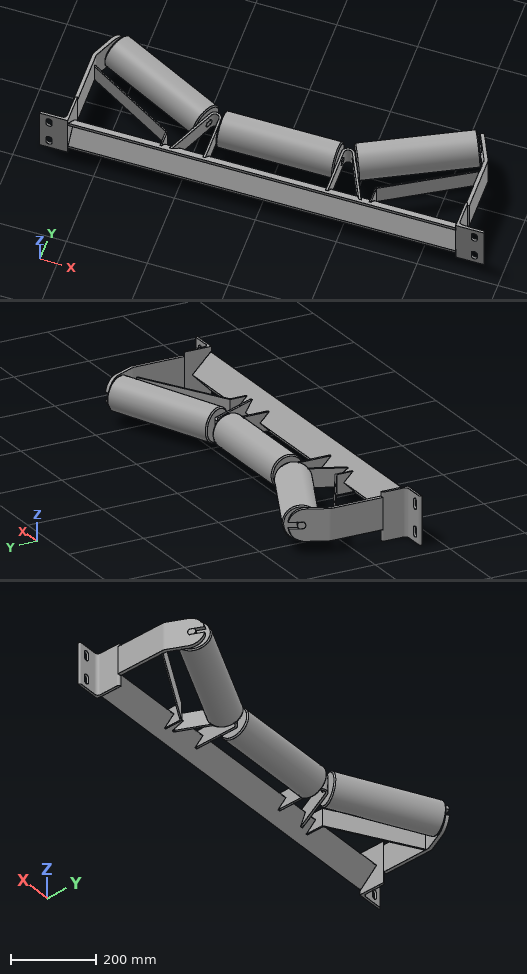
import cadquery as cq
import math


SPAN = 1100.0
MOUNT_LENGTH = 70.0
LEG_INNER_X = SPAN / 2 - MOUNT_LENGTH
TROUGH_ANGLE = 25.0
TILT_ANGLE = 1.9
TROUGH_SIN = math.sin(math.radians(TROUGH_ANGLE))
TROUGH_COS = math.cos(math.radians(TROUGH_ANGLE))
TILT_SIN = math.sin(math.radians(TILT_ANGLE))
TILT_COS = math.cos(math.radians(TILT_ANGLE))
REACH = 660.0

BEAM_SETBACK = 2.0
BEAM_DEPTH = 50.0
BEAM_RIDGE_Y = BEAM_SETBACK + BEAM_DEPTH
BEAM_THICK = 6.0
BEAM_ROOT_RADIUS = 8.0

FOOT_HEIGHT = 125.0
FOOT_DEPTH = 73.0
FOOT_THICK = 7.0
FOOT_ROOT_RADIUS = 9.0
FOOT_TOE_RADIUS = 5.0
SLOT_LENGTH = 28.0
SLOT_WIDTH = 14.0
SLOT_INSET = 24.0
SLOT_SPACING = 70.0

ROLLER_DIAMETER = 89.0
ROLLER_LENGTH = 290.0
ROLLER_CHAMFER = 3.0
SHAFT_DIAMETER = 20.0
SHAFT_FLATS = 16.0
MIDDLE_ROLLER_Y = 136.0
SIDE_ROLLER_X = 185.0
SIDE_ROLLER_Y = 145.0

SUPPORT_THICK = 6.0
SUPPORT_INNER_X = 148.0
SUPPORT_TOP_Y = 162.0
SUPPORT_FOLD_RADIUS = 13.0
SUPPORT_HEIGHT = 48.0

ARM_THICK = 10.0
ARM_WIDTH = 82.0
ARM_BEND_Y = 212.0
ARM_BEND_RADIUS = 5.0
ARM_TIP_LENGTH = 100.0

BRACE_THICK = 3.8
BRACE_HEIGHT = 53.0
BRACE_BOTTOM_Z = -29.0
BRACE_ANGLE = 30.0
BRACE_FOOT_X = 261.0
BRACE_KNEE_Y = 70.0


def both_sides(body):
    """The body on the +X side and its mirror image on the -X side."""
    return [body, body.mirror("YZ")]


ALONG = cq.Vector(TROUGH_COS, TROUGH_SIN, 0)
ACROSS = cq.Vector(-TROUGH_SIN, TROUGH_COS, 0)

MIDDLE_AXIS = cq.Plane((-ROLLER_LENGTH / 2, MIDDLE_ROLLER_Y, 0), xDir=(0, 1, 0), normal=(1, 0, 0))
SIDE_AXIS = cq.Plane(
    (SIDE_ROLLER_X, SIDE_ROLLER_Y, 0),
    xDir=ACROSS.toTuple(),
    normal=(TROUGH_COS * TILT_COS, TROUGH_SIN * TILT_COS, TILT_SIN),
)

ARM_OUTER_X = LEG_INNER_X + ARM_THICK
ARM_BEND = cq.Vector(ARM_OUTER_X, ARM_BEND_Y, 0)
SIDE_START = cq.Vector(SIDE_ROLLER_X, SIDE_ROLLER_Y, 0)
ARM_FACE_DISTANCE = (ARM_BEND - SIDE_START).dot(ALONG) / TILT_COS
ARM_MID_Z = ARM_FACE_DISTANCE * TILT_SIN
ARM_BOTTOM_Z = ARM_MID_Z - ARM_WIDTH / 2

STRAIGHT_LEG_X = SUPPORT_INNER_X + SUPPORT_THICK / 2
FOLD_X = STRAIGHT_LEG_X + SUPPORT_FOLD_RADIUS
FOLD_Y = SUPPORT_TOP_Y - SUPPORT_THICK / 2 - SUPPORT_FOLD_RADIUS

MIDDLE_SHAFT_REACH = SUPPORT_INNER_X + SUPPORT_THICK - ROLLER_LENGTH / 2
FOLD_TO_ROLLER = (SIDE_START - cq.Vector(FOLD_X, FOLD_Y, 0)).dot(ALONG)
SIDE_SHAFT_REACH = FOLD_TO_ROLLER - SUPPORT_FOLD_RADIUS + SUPPORT_THICK / 2


def shaft_bar(axis, start, length):
    """A round bar with two flats, from `start` along the axis of a roller."""
    bar = cq.Workplane(axis).workplane(offset=start).circle(SHAFT_DIAMETER / 2).extrude(length)
    flats = cq.Workplane(axis).workplane(offset=start).rect(SHAFT_DIAMETER, SHAFT_FLATS).extrude(length)
    return bar.intersect(flats)


def make_shaft(axis, inner_reach, length):
    return shaft_bar(axis, -inner_reach, length)


def make_roller(axis):
    roller = cq.Workplane(axis).circle(ROLLER_DIAMETER / 2).extrude(ROLLER_LENGTH)
    roller = roller.edges().chamfer(ROLLER_CHAMFER)
    return roller.cut(shaft_bar(axis, 0, ROLLER_LENGTH))


def make_beam():
    """V-shaped section with its ridge toward +Y and its toes cut parallel to the mounting surface."""
    inner_depth = BEAM_DEPTH - BEAM_THICK * math.sqrt(2)
    beam = (
        cq.Workplane("YZ")
        .polyline(
            [
                (BEAM_RIDGE_Y, 0),
                (BEAM_SETBACK, BEAM_DEPTH),
                (BEAM_SETBACK, inner_depth),
                (BEAM_SETBACK + inner_depth, 0),
                (BEAM_SETBACK, -inner_depth),
                (BEAM_SETBACK, -BEAM_DEPTH),
            ]
        )
        .close()
        .extrude(LEG_INNER_X, both=True)
    )
    root = cq.NearestToPointSelector((0, BEAM_SETBACK + inner_depth, 0))
    return beam.edges(root).fillet(BEAM_ROOT_RADIUS)


def make_foot():
    outer_x = SPAN / 2
    leg_outer_x = LEG_INNER_X + FOOT_THICK
    foot = (
        cq.Workplane("XY")
        .polyline(
            [
                (LEG_INNER_X, 0),
                (outer_x, 0),
                (outer_x, FOOT_THICK),
                (leg_outer_x, FOOT_THICK),
                (leg_outer_x, FOOT_DEPTH),
                (LEG_INNER_X, FOOT_DEPTH),
            ]
        )
        .close()
        .extrude(FOOT_HEIGHT / 2, both=True)
    )
    foot = foot.edges(cq.NearestToPointSelector((leg_outer_x, FOOT_THICK, 0))).fillet(FOOT_ROOT_RADIUS)
    for toe in [(outer_x, FOOT_THICK, 0), (leg_outer_x, FOOT_DEPTH, 0)]:
        foot = foot.edges(cq.NearestToPointSelector(toe)).fillet(FOOT_TOE_RADIUS)
    slots = (
        cq.Workplane("XZ")
        .center(outer_x - SLOT_INSET, 0)
        .pushPoints([(0, -SLOT_SPACING / 2), (0, SLOT_SPACING / 2)])
        .slot2D(SLOT_LENGTH, SLOT_WIDTH, 90)
        .extrude(FOOT_THICK, both=True)
    )
    return foot.cut(slots)


def trim_to_beam(strip):
    """Notch a strip so that it straddles the ridge and sits on the beam's two outer faces."""
    wedge = (
        cq.Workplane("YZ")
        .polyline([(BEAM_RIDGE_Y, 0), (BEAM_SETBACK, BEAM_DEPTH), (BEAM_SETBACK, -BEAM_DEPTH)])
        .close()
        .extrude(REACH, both=True)
    )
    return strip.cut(wedge)


def make_support():
    """Folded strip carrying the inner ends of the middle roller and one side roller."""
    fold_end = cq.Vector(FOLD_X, FOLD_Y, 0) + ALONG * SUPPORT_FOLD_RADIUS
    half_turn = math.radians((180 + TROUGH_ANGLE) / 2)
    fold_middle = (
        FOLD_X + SUPPORT_FOLD_RADIUS * math.cos(half_turn),
        FOLD_Y + SUPPORT_FOLD_RADIUS * math.sin(half_turn),
    )
    end_y = BEAM_RIDGE_Y - SUPPORT_HEIGHT / 2 - SUPPORT_THICK
    sloped_end = fold_end - ACROSS * ((fold_end.y - end_y) / TROUGH_COS)
    path = (
        cq.Workplane("XY")
        .moveTo(STRAIGHT_LEG_X, end_y)
        .lineTo(STRAIGHT_LEG_X, FOLD_Y)
        .threePointArc(fold_middle, (fold_end.x, fold_end.y))
        .lineTo(sloped_end.x, sloped_end.y)
    )
    section = cq.Workplane("XZ", origin=(STRAIGHT_LEG_X, end_y, 0)).rect(SUPPORT_THICK, SUPPORT_HEIGHT)
    strip = trim_to_beam(section.sweep(path))
    strip = strip.cut(shaft_bar(MIDDLE_AXIS, 0, SUPPORT_INNER_X * 2 + SUPPORT_THICK))
    return strip.cut(shaft_bar(SIDE_AXIS, -SIDE_SHAFT_REACH - SUPPORT_THICK, ROLLER_LENGTH))


def make_brace():
    """Strip standing on the beam and bent at a knee to run out to the end arm."""
    rise = (LEG_INNER_X - BRACE_FOOT_X) * math.tan(math.radians(BRACE_ANGLE))
    slanted_thick = BRACE_THICK / math.cos(math.radians(BRACE_ANGLE))
    inner_x = BRACE_FOOT_X - BRACE_THICK
    inner_knee_y = BRACE_KNEE_Y + slanted_thick - BRACE_THICK * math.tan(math.radians(BRACE_ANGLE))
    strip = (
        cq.Workplane("XY", origin=(0, 0, BRACE_BOTTOM_Z))
        .polyline(
            [
                (BRACE_FOOT_X, BEAM_SETBACK),
                (BRACE_FOOT_X, BRACE_KNEE_Y),
                (LEG_INNER_X, BRACE_KNEE_Y + rise),
                (LEG_INNER_X, BRACE_KNEE_Y + rise + slanted_thick),
                (inner_x, inner_knee_y),
                (inner_x, BEAM_SETBACK),
            ]
        )
        .close()
        .extrude(BRACE_HEIGHT)
    )
    return trim_to_beam(strip)


def make_frame():
    frame = make_beam()
    for part in [make_foot(), make_support(), make_brace()]:
        for welded in both_sides(part):
            frame = frame.union(welded)
    return frame


def make_arm():
    """Plate rising from the foot, bent parallel to the roller end, with a rounded, slotted tip."""
    round_centre = ARM_BEND + ACROSS * (ARM_TIP_LENGTH - ARM_WIDTH / 2)
    inner_end = round_centre - ALONG * ARM_THICK
    inner_bend_y = ARM_BEND_Y - ARM_THICK * math.tan(math.radians(TROUGH_ANGLE / 2))
    arm = (
        cq.Workplane("XY", origin=(0, 0, ARM_BOTTOM_Z))
        .polyline(
            [
                (LEG_INNER_X, FOOT_DEPTH),
                (ARM_OUTER_X, FOOT_DEPTH),
                (ARM_BEND.x, ARM_BEND.y),
                (round_centre.x, round_centre.y),
                (inner_end.x, inner_end.y),
                (LEG_INNER_X, inner_bend_y),
            ]
        )
        .close()
        .extrude(ARM_WIDTH)
    )
    inside = cq.NearestToPointSelector((LEG_INNER_X, inner_bend_y, ARM_MID_Z))
    outside = cq.NearestToPointSelector((ARM_BEND.x, ARM_BEND.y, ARM_MID_Z))
    arm = arm.edges(inside).fillet(ARM_BEND_RADIUS)
    arm = arm.edges(outside).fillet(ARM_BEND_RADIUS + ARM_THICK)
    tip_plane = cq.Plane(
        (inner_end.x, inner_end.y, ARM_MID_Z), xDir=ACROSS.toTuple(), normal=ALONG.toTuple()
    )
    arm = arm.union(cq.Workplane(tip_plane).circle(ARM_WIDTH / 2).extrude(ARM_THICK))
    seat = shaft_bar(SIDE_AXIS, ROLLER_LENGTH, ROLLER_LENGTH)
    entry = (
        cq.Workplane(SIDE_AXIS)
        .workplane(offset=ROLLER_LENGTH)
        .center(ARM_WIDTH / 2, 0)
        .rect(ARM_WIDTH, SHAFT_FLATS)
        .extrude(ROLLER_LENGTH)
    )
    return arm.cut(seat).cut(entry)


frame = make_frame()
arms = both_sides(make_arm())
rollers = [make_roller(MIDDLE_AXIS), *both_sides(make_roller(SIDE_AXIS))]
middle_shaft = make_shaft(MIDDLE_AXIS, MIDDLE_SHAFT_REACH, ROLLER_LENGTH + 2 * MIDDLE_SHAFT_REACH)
side_shaft = make_shaft(SIDE_AXIS, SIDE_SHAFT_REACH, SIDE_SHAFT_REACH + ARM_FACE_DISTANCE)
shafts = [middle_shaft, *both_sides(side_shaft)]

result = cq.Compound.makeCompound([body.val() for body in [frame, *arms, *rollers, *shafts]])